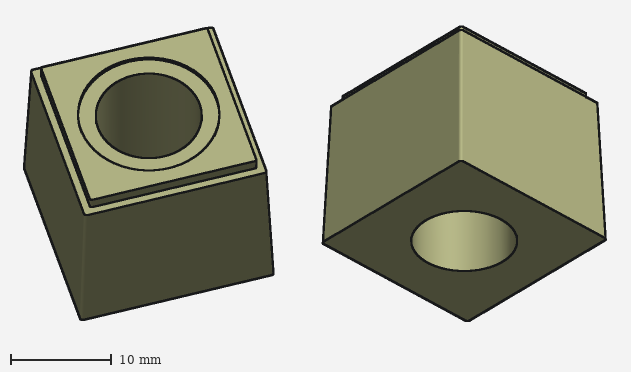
import cadquery as cq

base_width = 20.0
total_height = 17.5

shoulder_width = 18.85
body_corner = 0.3
plinth_height = 1.2
body_height = total_height - plinth_height

plinth_width = 17.2
plinth_corner = 0.2

bore_diameter = 10.5
recess_diameter = 14.0
recess_depth = 0.3


def rounded_square(width, corner):
    """Centred square outline with rounded corners."""
    return cq.Sketch().rect(width, width).vertices().fillet(corner)


def tapered_body():
    """Body narrowing evenly from the base to the shoulder."""
    base = rounded_square(base_width, body_corner)
    shoulder = rounded_square(shoulder_width, body_corner)
    return (
        cq.Workplane("XY")
        .placeSketch(base, shoulder.moved(cq.Location(cq.Vector(0, 0, body_height))))
        .loft()
    )


def plinth():
    """Straight-sided square step above the shoulder."""
    return (
        cq.Workplane("XY", origin=(0, 0, body_height))
        .placeSketch(rounded_square(plinth_width, plinth_corner))
        .extrude(plinth_height)
    )


result = (
    tapered_body()
    .union(plinth())
    .faces(">Z")
    .workplane(origin=(0, 0, total_height))
    .cboreHole(bore_diameter, recess_diameter, recess_depth)
)